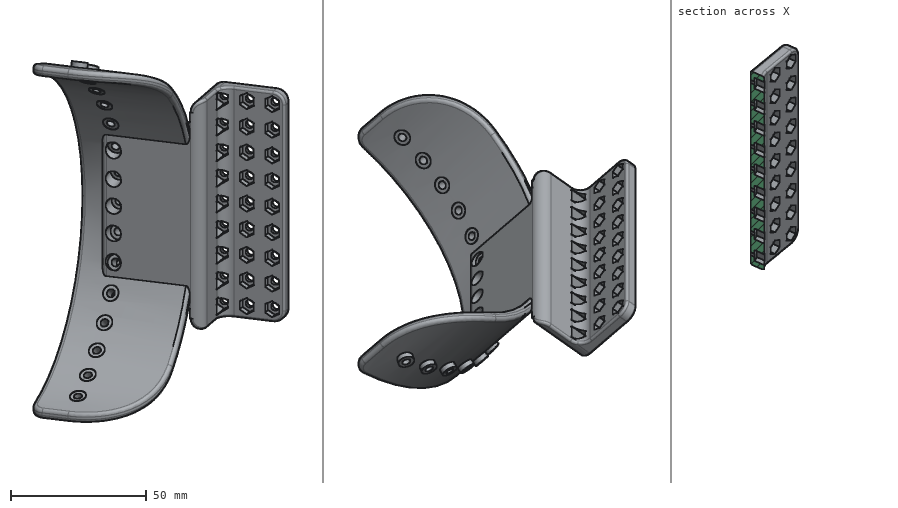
import cadquery as cq
import math

total_length = 75.0
total_height = 137.4
total_depth = 73.4

cuff_width = 45.0
cuff_outer_radius = 69.9
cuff_wall = 4.0
cuff_edge_fillet = 1.5
cuff_small_corner = 5.0
cuff_large_corner = 30.0

plate_thickness = 5.0
bracket_height = 90.0
web_depth = 25.0
bracket_corner = 4.8
rim_fillet = 1.0
joint_fillet = 0.5
cuff_to_flange_back = 15.0

pad_start = 10.0
pad_edge_fillet = 2.0

eyelet_count = 15
eyelet_step = 10
eyelet_x = 15.0
eyelet_diameter = 6.0
eyelet_bore = 3.0
eyelet_seat_depth = 0.1

nut_rows = 9
nut_columns = 3
nut_across_flats = 5.5
nut_pocket_depth = 3.0
screw_diameter = 3.0

cuff_inner_radius = cuff_outer_radius - cuff_wall
cuff_mid_radius = cuff_outer_radius - cuff_wall / 2
flange_back = cuff_outer_radius + cuff_to_flange_back
flange_front = flange_back - plate_thickness
web_front = flange_back - web_depth
cuff_tip = flange_back - total_depth
web_right = cuff_width + plate_thickness
last_eyelet_angle = math.radians((eyelet_count - 1) / 2 * eyelet_step)
eyelet_top_radius = (
    total_height / 2 - eyelet_diameter / 2 * math.cos(last_eyelet_angle)
) / math.sin(last_eyelet_angle)
nut_pitch = bracket_height / nut_rows

near = cq.selectors.NearestToPointSelector


def corner_box(x_size, y_size, z_size, x_start, y_start):
    """Box from the corner x_start, y_start, centred on Z = 0."""
    box = cq.Workplane("XY").box(x_size, y_size, z_size, centered=(False, False, True))
    return box.translate((x_start, y_start, 0))


def seam_to_front(body):
    """Turn a round body so that its seam faces -Y, clear of the eyelets."""
    return body.rotate((0, 0, 0), (1, 0, 0), 180)


def make_cuff():
    """Curved shell with rounded tips and softened edges."""
    ring = seam_to_front(
        cq.Workplane("YZ")
        .circle(cuff_outer_radius)
        .circle(cuff_inner_radius)
        .extrude(cuff_width)
    )
    footprint = (
        cq.Workplane("XY", origin=(0, 0, -cuff_outer_radius))
        .moveTo(0, cuff_outer_radius)
        .lineTo(0, cuff_tip + cuff_small_corner)
        .radiusArc((cuff_small_corner, cuff_tip), -cuff_small_corner)
        .lineTo(cuff_width - cuff_large_corner, cuff_tip)
        .radiusArc((cuff_width, cuff_tip + cuff_large_corner), -cuff_large_corner)
        .lineTo(cuff_width, cuff_outer_radius)
        .close()
        .extrude(2 * cuff_outer_radius)
    )
    return ring.intersect(footprint).edges().fillet(cuff_edge_fillet)


def make_pad():
    """Flat-faced filler between the hollow of the cuff and the web front plane."""
    pad_depth = cuff_outer_radius - web_front
    block = corner_box(cuff_width - pad_start, pad_depth, bracket_height, pad_start, web_front)
    block = block.edges("<X and <Y").fillet(pad_edge_fillet)
    hollow = seam_to_front(cq.Workplane("YZ").circle(cuff_mid_radius).extrude(cuff_width))
    return block.intersect(hollow)


def make_joint():
    """Square cuff edge against the web, with a hollow fillet outside it."""
    ring = seam_to_front(
        cq.Workplane("XY")
        .moveTo(cuff_width, cuff_mid_radius)
        .lineTo(cuff_width, cuff_outer_radius + joint_fillet)
        .radiusArc((cuff_width - joint_fillet, cuff_outer_radius), joint_fillet)
        .lineTo(cuff_width - cuff_edge_fillet, cuff_outer_radius)
        .lineTo(cuff_width - cuff_edge_fillet, cuff_mid_radius)
        .close()
        .revolve(360, (0, 0), (1, 0))
    )
    return ring.intersect(corner_box(cuff_width, web_depth, bracket_height, 0, web_front))


def make_bracket():
    """L-shaped bracket with rounded corners and rims."""
    web = corner_box(plate_thickness, web_depth, bracket_height, cuff_width, web_front)
    flange_length = total_length - cuff_width
    flange = corner_box(flange_length, plate_thickness, bracket_height, cuff_width, flange_front)
    bracket = web.union(flange)

    bracket = bracket.edges("|Y and (<X or >X)").fillet(bracket_corner)
    bracket = bracket.edges(near((web_right, flange_front, 0))).fillet(bracket_corner)
    bracket = bracket.edges(near((web_right, web_front, 0))).fillet(bracket_corner)

    rim_start = (total_length - nut_pitch, flange_front, bracket_height / 2)
    bracket = bracket.edges(near(rim_start)).fillet(rim_fillet)
    bracket = bracket.faces(">Y").edges().fillet(rim_fillet)

    straight_height = bracket_height - 2 * bracket_corner
    straight_edge = corner_box(plate_thickness, web_depth / 2, straight_height, cuff_width, web_front)
    straight_edge = straight_edge.edges(">X and <Y").fillet(bracket_corner)
    return bracket.union(straight_edge)


def radial_cylinder(diameter, start_radius, end_radius, angle):
    """Cylinder pointing away from the cuff axis, turned by angle from +Y."""
    return (
        cq.Workplane("XZ", origin=(eyelet_x, start_radius, 0))
        .circle(diameter / 2)
        .extrude(start_radius - end_radius)
        .rotate((0, 0, 0), (1, 0, 0), angle)
    )


def add_eyelets(body):
    """Bosses on the outside, each with a through bore and a seat on the inside."""
    seat_radius = cuff_inner_radius + eyelet_seat_depth
    tool_radius = web_front - eyelet_diameter
    angles = [(index - (eyelet_count - 1) / 2) * eyelet_step for index in range(eyelet_count)]
    for angle in angles:
        body = body.union(radial_cylinder(eyelet_diameter, seat_radius, eyelet_top_radius, angle))
    for angle in angles:
        body = body.cut(radial_cylinder(eyelet_diameter, tool_radius, seat_radius, angle))
        body = body.cut(radial_cylinder(eyelet_bore, tool_radius, eyelet_top_radius, angle))
    return body


def cut_nut_grid(body):
    """Hexagonal pockets in the flange front, each with a screw hole to the back."""
    pocket_floor = flange_front + nut_pocket_depth
    pocket_top = flange_front - bracket_corner
    nut_across_corners = nut_across_flats / math.cos(math.radians(30))
    centre_x = web_right + (nut_columns - 1) / 2 * nut_pitch
    pockets = (
        cq.Workplane("XZ", origin=(centre_x, pocket_floor, 0))
        .transformed(rotate=(0, 0, 90))
        .rarray(nut_pitch, nut_pitch, nut_rows, nut_columns)
        .polygon(6, nut_across_corners)
        .extrude(pocket_floor - pocket_top)
    )
    holes = (
        cq.Workplane("XZ", origin=(centre_x, flange_back, 0))
        .rarray(nut_pitch, nut_pitch, nut_columns, nut_rows)
        .circle(screw_diameter / 2)
        .extrude(flange_back - pocket_top)
    )
    return body.cut(pockets).cut(holes)


bracket = cut_nut_grid(make_bracket())
cuff = add_eyelets(make_cuff().union(make_pad()).union(make_joint()))
result = cuff.union(bracket)